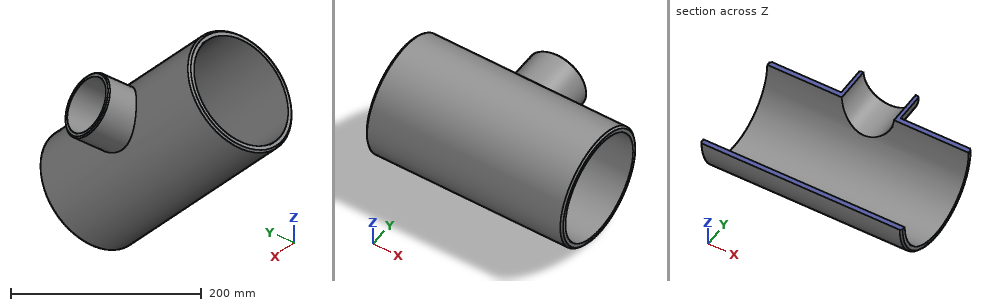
import cadquery as cq

run_length = 248.0
run_diameter = 141.3
run_wall = 6.7
run_bevel = 2.2

branch_reach = 107.8
branch_diameter = 73.6
branch_wall = 5.0
branch_bevel = 1.5

run_radius = run_diameter / 2
branch_radius = branch_diameter / 2


def run_body():
    """Solid main pipe with both outer end edges bevelled."""
    body = cq.Workplane("YZ").circle(run_radius).extrude(run_length / 2, both=True)
    return body.faces("<X or >X").chamfer(run_bevel)


def branch_body():
    """Solid branch from the main pipe axis, bevelled at its free end."""
    body = cq.Workplane("XZ").circle(branch_radius).extrude(-branch_reach)
    return body.faces(">Y").chamfer(branch_bevel)


run_bore = cq.Workplane("YZ").circle(run_radius - run_wall).extrude(run_length / 2, both=True)
branch_bore = cq.Workplane("XZ").circle(branch_radius - branch_wall).extrude(-branch_reach)

result = run_body().union(branch_body()).cut(run_bore).cut(branch_bore)